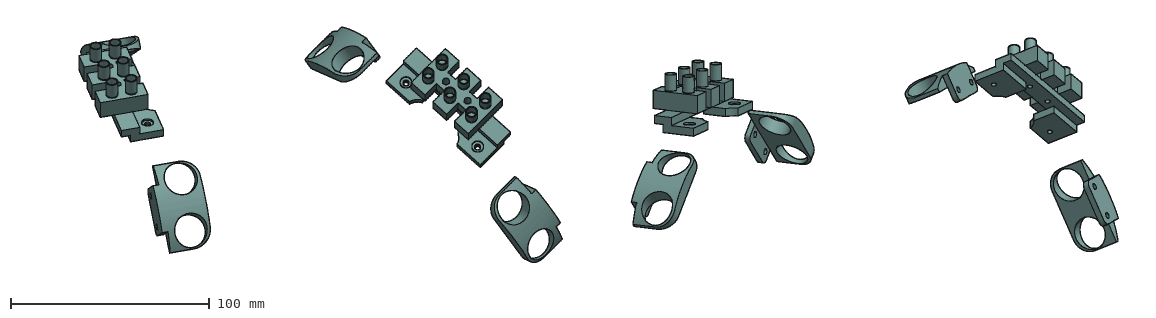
import cadquery as cq
import math


BRACKET_LENGTH = 65.2
LAYER_HEIGHT = 4.2
BAR_DEPTH = 9.6
PAD_BACK_Y = 12.5
PAD_FRONT_Y = -4.8
SLOT_WIDTH = 24.7
NOTCH_WIDTH = 32.9
NOTCH_DEPTH = 5.0
NOTCH_RADIUS = 8.0
SCREW_X = 24.8
SCREW_Y = 6.3
SCREW_HOLE_DIAMETER = 3.0
SCREW_HEAD_DIAMETER = 6.0
SCREW_HEAD_DEPTH = 1.0
SCREW_TIP_DIAMETER = 2.5
PILOT_SPACING = 15.5
PILOT_X = -0.5
PILOT_DIAMETER = 2.5

BLOCK_LENGTH = 39.6
BLOCK_DEPTH = 25.0
BLOCK_HEIGHT = 9.5
BLOCK_X = -0.24
BLOCK_Y = -4.5
FINGER_COUNT = 3
FINGER_WIDTH = 9.6
FINGER_PITCH = (BLOCK_LENGTH - FINGER_WIDTH) / (FINGER_COUNT - 1)
WEB_DEPTH = 8.3
TUBE_SPACING = 10.1
TUBE_HEIGHT = 8.3
TUBE_DIAMETER = 6.0
TUBE_BORE = 5.0
BLOCK_HOLE_DIAMETER = 3.5

OVERALL_LENGTH = 160.3
OVERALL_HEIGHT = 64.1
TILT = 45.0
CLAMP_LENGTH = 44.9
CLAMP_BACK_Y = 24.5
CLAMP_DEPTH = 22.0
CLAMP_CORNER_RADIUS = 9.0
TIP_HEIGHT = 2.1
CROWN_HEIGHT = 7.9
CROWN_FLAT = 3.2
RING_DIAMETER = 16.8
RING_OFFSET = 13.3
RING_FROM_BACK = 10.1
TAB_WIDTH = 24.2
TAB_THICKNESS = 3.0
TAB_DROP = 9.0
TAB_CORNER_RADIUS = 3.0
TAB_HOLE_DIAMETER = 3.0
TAB_HOLE_SPACING = 16.0
TAB_HOLE_DROP = 3.4

half_chord = CLAMP_LENGTH / 2
tilt_angle = math.radians(TILT)
clamp_x = OVERALL_LENGTH / 2 - half_chord * math.cos(tilt_angle) - TIP_HEIGHT * math.sin(tilt_angle)
clamp_z = BLOCK_HEIGHT + TUBE_HEIGHT - OVERALL_HEIGHT + half_chord * math.sin(tilt_angle)


def bracket_pad():
    """Left pad, with the rounded widening of the gap at its back inner corner."""
    outer_x = -BRACKET_LENGTH / 2
    inner_x = -SLOT_WIDTH / 2
    return (
        cq.Workplane("XY", origin=(0, 0, -2 * LAYER_HEIGHT))
        .moveTo(outer_x, PAD_FRONT_Y)
        .lineTo(inner_x, PAD_FRONT_Y)
        .lineTo(inner_x, PAD_BACK_Y - NOTCH_DEPTH)
        .radiusArc((-NOTCH_WIDTH / 2, PAD_BACK_Y), NOTCH_RADIUS)
        .lineTo(outer_x, PAD_BACK_Y)
        .close()
        .extrude(LAYER_HEIGHT)
    )


def make_bracket():
    body = cq.Workplane("XY").box(BRACKET_LENGTH, BAR_DEPTH, LAYER_HEIGHT).translate(
        (0, -BAR_DEPTH / 2, -LAYER_HEIGHT / 2)
    )
    left_pad = bracket_pad()
    body = body.union(left_pad).union(left_pad.mirror("YZ"))

    pad_top = cq.Workplane("XY", origin=(0, SCREW_Y, -LAYER_HEIGHT)).rarray(2 * SCREW_X, 1.6, 2, 1)
    for diameter, depth in (
        (SCREW_HEAD_DIAMETER, SCREW_HEAD_DEPTH),
        (SCREW_HOLE_DIAMETER, LAYER_HEIGHT / 2),
        (SCREW_TIP_DIAMETER, LAYER_HEIGHT),
    ):
        body = body.cut(pad_top.circle(diameter / 2).extrude(-depth))

    pilots = cq.Workplane("XY", origin=(PILOT_X, BLOCK_Y, 0)).rarray(PILOT_SPACING, 1.6, 2, 1)
    return body.cut(pilots.circle(PILOT_DIAMETER / 2).extrude(-LAYER_HEIGHT))


def make_terminal_block():
    base = cq.Workplane("XY", origin=(BLOCK_X, BLOCK_Y, 0))
    top = cq.Workplane("XY", origin=(BLOCK_X, BLOCK_Y, BLOCK_HEIGHT))
    block = base.rect(BLOCK_LENGTH, WEB_DEPTH).extrude(BLOCK_HEIGHT)
    fingers = base.rarray(FINGER_PITCH, 1.6, FINGER_COUNT, 1).rect(FINGER_WIDTH, BLOCK_DEPTH)
    block = block.union(fingers.extrude(BLOCK_HEIGHT))

    tube_grid = top.rarray(FINGER_PITCH, TUBE_SPACING, FINGER_COUNT, 2)
    block = block.union(tube_grid.circle(TUBE_DIAMETER / 2).extrude(TUBE_HEIGHT))
    block = block.cut(tube_grid.circle(TUBE_BORE / 2).extrude(TUBE_HEIGHT))

    web_holes = base.rarray(FINGER_PITCH, 1.6, FINGER_COUNT - 1, 1).circle(BLOCK_HOLE_DIAMETER / 2)
    return block.cut(web_holes.extrude(BLOCK_HEIGHT))


def clamp_dome(depth):
    """Domed section extruded forward from the back face: two arcs tangent to a flat crown."""
    half_flat = CROWN_FLAT / 2
    run = half_chord - half_flat
    fall = CROWN_HEIGHT - TIP_HEIGHT
    dome_radius = (run**2 + fall**2) / (2 * fall)
    return (
        cq.Workplane("XZ", origin=(0, CLAMP_BACK_Y, 0))
        .moveTo(-half_chord, 0)
        .lineTo(-half_chord, TIP_HEIGHT)
        .radiusArc((-half_flat, CROWN_HEIGHT), dome_radius)
        .lineTo(half_flat, CROWN_HEIGHT)
        .radiusArc((half_chord, TIP_HEIGHT), dome_radius)
        .lineTo(half_chord, 0)
        .close()
        .extrude(depth)
    )


def clamp_tab():
    """Front tab: fills the middle of the dome section and hangs below its underside."""
    tab_plane = cq.Workplane("XZ", origin=(0, CLAMP_BACK_Y - CLAMP_DEPTH, 0))
    tab = (
        tab_plane.center(0, (CROWN_HEIGHT - TAB_DROP) / 2)
        .rect(TAB_WIDTH, CROWN_HEIGHT + TAB_DROP)
        .extrude(TAB_THICKNESS)
        .edges("|Y and <Z")
        .fillet(TAB_CORNER_RADIUS)
    )
    upper = clamp_dome(CLAMP_DEPTH + TAB_THICKNESS)
    lower = tab_plane.center(0, -TAB_DROP / 2).rect(TAB_WIDTH, TAB_DROP).extrude(TAB_THICKNESS)
    tab = tab.intersect(upper.union(lower))
    holes = tab_plane.center(0, -TAB_HOLE_DROP).rarray(TAB_HOLE_SPACING, 1.6, 2, 1)
    return tab.cut(holes.circle(TAB_HOLE_DIAMETER / 2).extrude(TAB_THICKNESS))


def make_left_clamp():
    dome = clamp_dome(CLAMP_DEPTH)
    footprint = (
        cq.Workplane("XY", origin=(0, CLAMP_BACK_Y - CLAMP_DEPTH / 2, 0))
        .rect(CLAMP_LENGTH, CLAMP_DEPTH)
        .extrude(CROWN_HEIGHT)
        .edges("|Z and >Y")
        .fillet(CLAMP_CORNER_RADIUS)
    )
    rings = (
        cq.Workplane("XY", origin=(0, CLAMP_BACK_Y - RING_FROM_BACK, 0))
        .rarray(2 * RING_OFFSET, 1.6, 2, 1)
        .circle(RING_DIAMETER / 2)
        .extrude(CROWN_HEIGHT)
    )
    clamp = dome.intersect(footprint).cut(rings).union(clamp_tab())
    return clamp.rotate((0, 0, 0), (0, 1, 0), -TILT).translate((-clamp_x, 0, clamp_z))


bracket = make_bracket()
terminal_block = make_terminal_block()
left_clamp = make_left_clamp()
right_clamp = left_clamp.mirror("YZ")

result = cq.Compound.makeCompound(
    [bracket.val(), terminal_block.val(), left_clamp.val(), right_clamp.val()]
)